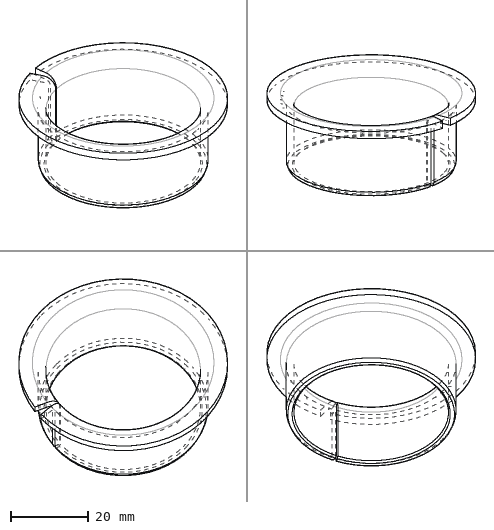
import cadquery as cq
import math

flange_radius = 27.0
bore_radius = 19.95
wall = 2.0
height = 20.0
mouth_radius = 3.5
chamfer_height = 1.15
chamfer_angle = 20.0
bore_chamfer = 0.5
gap_at_bore = 0.4
gap_side_angle = 10.0
cut_clearance = 2.7

sleeve_radius = bore_radius + wall
neck_radius = mouth_radius - wall
flange_underside = height - wall
bend_start = height - mouth_radius
bend_center_radius = bore_radius + mouth_radius
chamfer_width = chamfer_height * math.tan(math.radians(chamfer_angle))
seam_plane = cq.Plane(origin=(0, 0, 0), xDir=(-1, 0, 0), normal=(0, 1, 0))
diagonal = math.sqrt(0.5)


def bend_midpoint(radius):
    """Middle of a quarter bend of the given radius, as (radial, height)."""
    return (bend_center_radius - radius * diagonal, bend_start + radius * diagonal)


def flanged_sleeve():
    """Revolve the constant-thickness wall that bends outward into the flange."""
    profile = (
        cq.Workplane(seam_plane)
        .moveTo(bore_radius, bore_chamfer)
        .lineTo(bore_radius + bore_chamfer, 0)
        .lineTo(sleeve_radius - chamfer_width, 0)
        .lineTo(sleeve_radius, chamfer_height)
        .lineTo(sleeve_radius, bend_start)
        .threePointArc(bend_midpoint(neck_radius), (bend_center_radius, flange_underside))
        .lineTo(flange_radius, flange_underside)
        .lineTo(flange_radius, height)
        .lineTo(bend_center_radius, height)
        .threePointArc(bend_midpoint(mouth_radius), (bore_radius, bend_start))
        .close()
    )
    return profile.revolve(360, (0, 0, 0), (0, 1, 0))


def split_wedge():
    """Full-height wedge on the -X side, widening outward."""
    slope = math.tan(math.radians(gap_side_angle))
    apex_x = -bore_radius + gap_at_bore / 2 / slope
    outer_x = -(flange_radius + cut_clearance)
    outer_half_width = (apex_x - outer_x) * slope
    return (
        cq.Workplane("XY")
        .moveTo(apex_x, 0)
        .lineTo(outer_x, outer_half_width)
        .lineTo(outer_x, -outer_half_width)
        .close()
        .extrude(height)
    )


result = flanged_sleeve().cut(split_wedge())